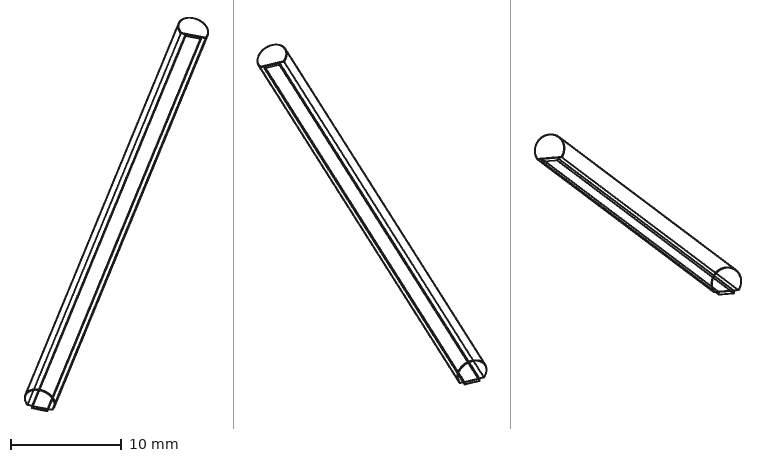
import cadquery as cq

length = 50.0
diameter = 2.85
height = 2.5
foot_width = 1.45
foot_depth = 0.25
end_chamfer = 0.05

radius = diameter / 2
bottom_z = radius - height
flat_z = bottom_z + foot_depth

bar = cq.Workplane("XZ").circle(radius).extrude(length / 2, both=True)

above_flat = (
    cq.Workplane("XY")
    .workplane(offset=flat_z)
    .rect(diameter, length)
    .extrude(diameter)
)
body = bar.intersect(above_flat).faces("<Y or >Y").chamfer(end_chamfer)

foot = (
    cq.Workplane("XY")
    .workplane(offset=bottom_z)
    .rect(foot_width, length)
    .extrude(foot_depth)
)

result = body.union(foot)